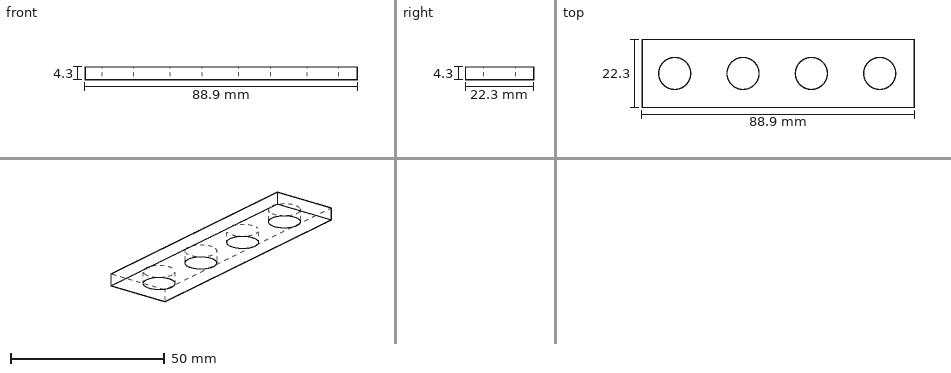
import cadquery as cq

length = 88.9
width = 22.3
thickness = 4.3

hole_diameter = 10.4
hole_count = 4
hole_pitch = width
first_hole_from_left_end = 10.7

first_hole_x = first_hole_from_left_end - length / 2
hole_centres = [(first_hole_x + i * hole_pitch, 0) for i in range(hole_count)]

bar = cq.Workplane("XY").box(length, width, thickness)

result = bar.faces(">Z").workplane().pushPoints(hole_centres).hole(hole_diameter)